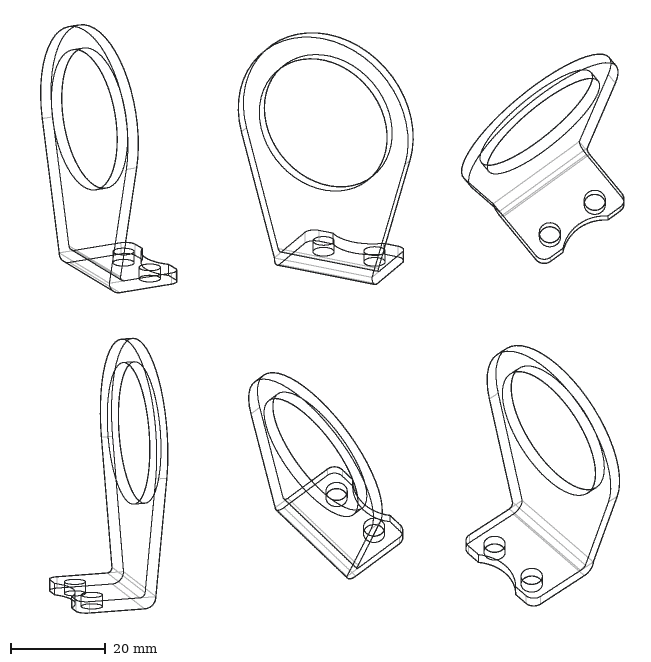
import cadquery as cq
import math

height = 55.5
depth = 17.0
thickness = 2.5
foot_width = 23.0
inner_bend_radius = 1.1
outer_bend_radius = thickness

ring_radius = 20.0
bore_diameter = 30.0
ring_center_z = height - ring_radius

foot_corner_radius = 2.2
bolt_diameter = 4.5
bolt_spacing = 12.0
bolt_y = 12.5
notch_width = 12.0
notch_depth = 2.3


def upright_outline():
    """Ring joined by tangent sides to a straight-sided base strip."""
    half_width = foot_width / 2
    drop = ring_center_z - thickness
    corner_distance = math.hypot(half_width, drop)
    tangent_angle = math.acos(ring_radius / corner_distance) - math.atan2(drop, half_width)
    tangent_x = ring_radius * math.cos(tangent_angle)
    tangent_z = ring_center_z + ring_radius * math.sin(tangent_angle)
    return (
        cq.Workplane("XZ")
        .moveTo(-half_width, 0)
        .lineTo(half_width, 0)
        .lineTo(half_width, thickness)
        .lineTo(tangent_x, tangent_z)
        .threePointArc((0, height), (-tangent_x, tangent_z))
        .lineTo(-half_width, thickness)
        .close()
    )


def bent_strip():
    """L-shaped side section with rounded bend, wide enough to cover the ring."""
    return (
        cq.Workplane("YZ")
        .moveTo(outer_bend_radius, 0)
        .lineTo(depth, 0)
        .lineTo(depth, thickness)
        .lineTo(thickness + inner_bend_radius, thickness)
        .radiusArc((thickness, thickness + inner_bend_radius), inner_bend_radius)
        .lineTo(thickness, height)
        .lineTo(0, height)
        .lineTo(0, outer_bend_radius)
        .radiusArc((outer_bend_radius, 0), -outer_bend_radius)
        .close()
        .extrude(ring_radius, both=True)
    )


def foot_notch():
    """Shallow arc cut into the free edge of the foot."""
    return (
        cq.Workplane("XY")
        .moveTo(-notch_width / 2, depth)
        .threePointArc((0, depth - notch_depth), (notch_width / 2, depth))
        .close()
        .extrude(thickness)
    )


body = bent_strip().intersect(upright_outline().extrude(-depth))

body = body.edges("|Z and >Y").fillet(foot_corner_radius)

bore = (
    cq.Workplane("XZ")
    .center(0, ring_center_z)
    .circle(bore_diameter / 2)
    .extrude(-thickness)
)
bolt_holes = (
    cq.Workplane("XY")
    .pushPoints([(side * bolt_spacing / 2, bolt_y) for side in (-1, 1)])
    .circle(bolt_diameter / 2)
    .extrude(thickness)
)

result = body.cut(bore).cut(bolt_holes).cut(foot_notch())